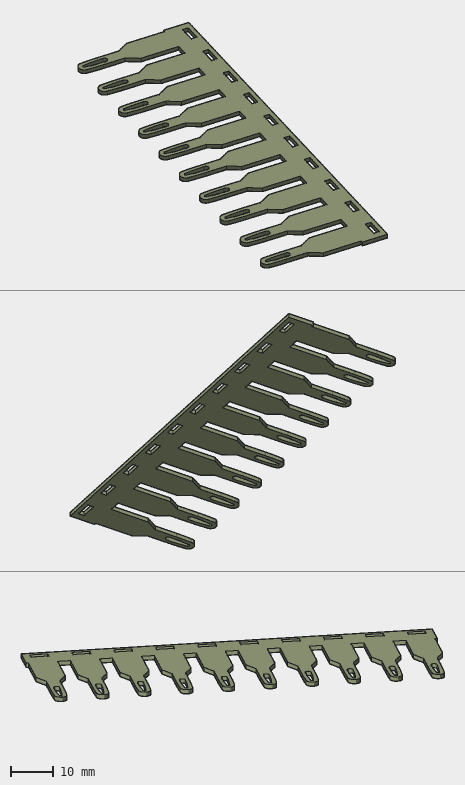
import cadquery as cq
import math

strip_length = 98.9
strip_depth = 6.8
total_depth = 31.8
thickness = 1.1

finger_count = 10
finger_pitch = 10.1
finger_width = 7.0
shoulder_depth = 17.0
neck_depth = 20.2

pin_width = 3.3
pin_taper_depth = 26.0
tip_radius = 1.5

eye_start_depth = 24.1
eye_end_depth = 30.7
eye_wide_radius = 0.7
eye_taper_depth = 25.2
eye_narrow_radius = 0.35

window_length = 4.3
window_depth = 1.5
window_margin = 1.2

back_y = total_depth / 2
finger_positions = [(i - (finger_count - 1) / 2) * finger_pitch for i in range(finger_count)]


def tapered_arc_middle(wide_x, wide_y, narrow_x, narrow_y):
    """Middle point of an arc that leaves the wide end along Y and ends at the narrow point."""
    inset = wide_x - narrow_x
    length = wide_y - narrow_y
    radius = (inset**2 + length**2) / (2 * inset)
    half_angle = math.asin(length / radius) / 2
    return wide_x - radius * (1 - math.cos(half_angle)), wide_y - radius * math.sin(half_angle)


def add_tapered_end(outline, wide_x, wide_y, narrow_x, end_y):
    """From (wide_x, wide_y), go down the curved side, round the tip and back up the other side."""
    narrow_y = end_y + narrow_x
    middle_x, middle_y = tapered_arc_middle(wide_x, wide_y, narrow_x, narrow_y)
    return (
        outline.threePointArc((middle_x, middle_y), (narrow_x, narrow_y))
        .threePointArc((0, end_y), (-narrow_x, narrow_y))
        .threePointArc((-middle_x, middle_y), (-wide_x, wide_y))
    )


def make_strip():
    return (
        cq.Workplane("XY")
        .center(0, back_y - strip_depth / 2)
        .rect(strip_length, strip_depth)
        .extrude(thickness)
    )


def make_finger():
    root_y = back_y - strip_depth / 2
    shoulder_y = back_y - shoulder_depth
    neck_y = back_y - neck_depth
    taper_y = back_y - pin_taper_depth
    outline = (
        cq.Workplane("XY")
        .moveTo(finger_width / 2, root_y)
        .lineTo(finger_width / 2, shoulder_y)
        .lineTo(pin_width / 2, neck_y)
        .lineTo(pin_width / 2, taper_y)
    )
    outline = add_tapered_end(outline, pin_width / 2, taper_y, tip_radius, back_y - total_depth)
    return (
        outline.lineTo(-pin_width / 2, neck_y)
        .lineTo(-finger_width / 2, shoulder_y)
        .lineTo(-finger_width / 2, root_y)
        .close()
        .extrude(thickness)
    )


def make_eye():
    round_y = back_y - eye_start_depth - eye_wide_radius
    taper_y = back_y - eye_taper_depth
    outline = cq.Workplane("XY").moveTo(eye_wide_radius, round_y).lineTo(eye_wide_radius, taper_y)
    outline = add_tapered_end(outline, eye_wide_radius, taper_y, eye_narrow_radius, back_y - eye_end_depth)
    return (
        outline.lineTo(-eye_wide_radius, round_y)
        .threePointArc((0, back_y - eye_start_depth), (eye_wide_radius, round_y))
        .close()
        .extrude(thickness)
    )


def make_window():
    return (
        cq.Workplane("XY")
        .center(0, back_y - window_margin - window_depth / 2)
        .rect(window_length, window_depth)
        .extrude(thickness)
    )


pin_finger = make_finger().cut(make_eye())
window = make_window()

result = make_strip()
for x in finger_positions:
    result = result.union(pin_finger.translate((x, 0, 0)))
    result = result.cut(window.translate((x, 0, 0)))
result = result.clean()